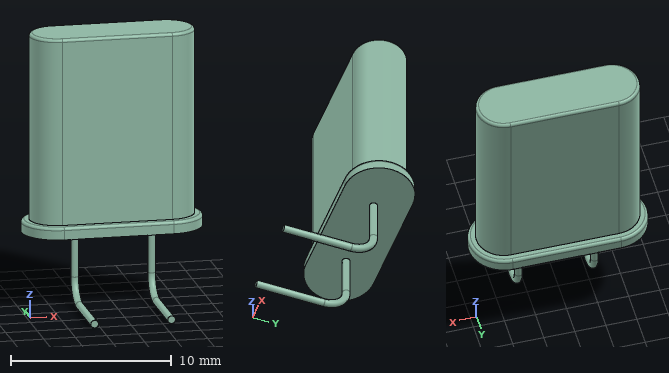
import cadquery as cq

total_height = 17.55
total_depth = 8.25

flange_length = 11.5
flange_width = 4.51
flange_height = 0.8
flange_fillet = 0.2

flange_margin = 0.51
can_length = flange_length - 2 * flange_margin
can_width = flange_width - 2 * flange_margin
can_fillet = 0.2

lead_diameter = 0.51
lead_pitch = 4.9
lead_offset_x = 0.09
lead_bend_radius = 1.5
lead_drop = 4.74
lead_radius = lead_diameter / 2
lead_axis_z = lead_radius - lead_drop
lead_tip_y = flange_width / 2 - total_depth

can_height = total_height - lead_drop - flange_height


def rounded_end_block(length, width, height, base_z, top_fillet):
    """Upright block with full-round ends and a filleted top rim."""
    block = cq.Workplane("XY").workplane(offset=base_z).slot2D(length, width).extrude(height)
    return block.faces(">Z").edges().fillet(top_fillet)


def bent_lead(x):
    """Wire starting at the flange underside, bent a quarter turn toward -Y."""
    bend_start_z = lead_axis_z + lead_bend_radius
    path = (
        cq.Workplane("YZ", origin=(x, 0, 0))
        .moveTo(0, 0)
        .lineTo(0, bend_start_z)
        .radiusArc((-lead_bend_radius, lead_axis_z), lead_bend_radius)
        .lineTo(lead_tip_y, lead_axis_z)
    )
    return cq.Workplane("XY", origin=(x, 0, 0)).circle(lead_radius).sweep(path)


flange = rounded_end_block(flange_length, flange_width, flange_height, 0, flange_fillet)
can = rounded_end_block(can_length, can_width, can_height, flange_height, can_fillet)

result = flange.union(can)
for side in (-1, 1):
    result = result.union(bent_lead(lead_offset_x + side * lead_pitch / 2))